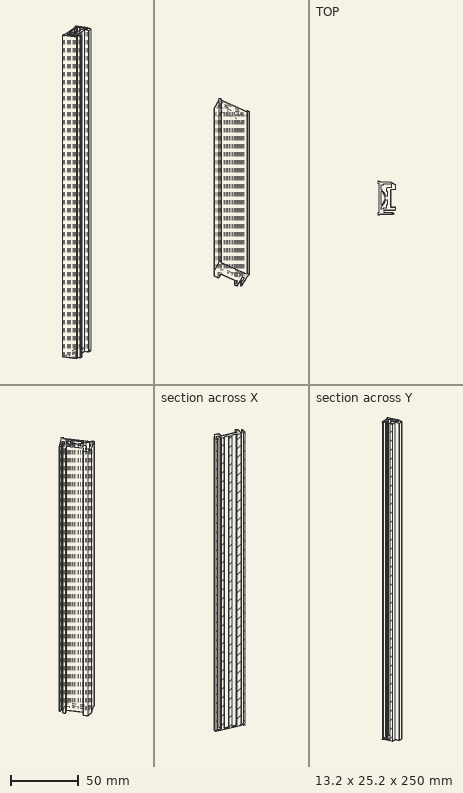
import cadquery as cq

LENGTH = 250.0
WIDTH = 13.2
HEIGHT = 25.2
END_WALL = 1.2

LEFT = -WIDTH / 2
RIGHT = WIDTH / 2
FACE_X = -5.8
FACE_INNER_X = -4.2
WEB_LEFT = 0.5
WEB_RIGHT = 3.0
WEB_STEP_X = -0.2
BOSS_X = -1.2
STRIP_END_X = 5.2

EDGE_Y = HEIGHT / 2
STRIP_Y = 12.0
FLANGE_Y = 10.8
FLANGE_TIP_START_Y = 12.0
FLANGE_CORNER_X = -6.5
FLANGE_CORNER_Y = 12.5
FLANGE_CREST_X = -6.2
FLANGE_SLOPE_X = -4.2

HOOK_BEND_X = 2.8
HOOK_CHAMFER_Y = 10.5
HOOK_SHOULDER_Y = 10.0
HOOK_LOWER_Y = 6.2
HOOK_TIP_CHAMFER = 0.38

ARM_UPPER_Y = -6.8
ARM_LOWER_Y = -9.0
ARM_TIP_CHAMFER = 0.5
SLOT_LOWER_Y = -10.5
SLOT_END_X = -2.0
LIP_BEND_X = 3.2
LIP_TIP_Y = -11.2
LIP_CHAMFER_X = 0.8
LIP_CHAMFER_Y = 0.38

BOSS_HALF = 1.5
RIB_FOOT_Y = 6.8
RIB_HEAD_Y = 3.0
STEP_NEAR_Y = 4.8
STEP_FAR_Y = 5.2
STEP_END_Y = 7.2
MIDDLE_CORNER_X = -3.2
MIDDLE_CORNER_Y = 4.8
MIDDLE_TIP_Y = 1.0
UPPER_CAVITY_Y = 10.2
UPPER_CAVITY_RIGHT = 3.5
UPPER_CAVITY_LOWER_Y = 7.8
TONGUE_X = -2.5
TONGUE_UPPER_Y = 9.5
LOWER_CAVITY_Y = -7.5
TONGUE_LOWER_Y = -8.2


def left_flange(side):
    """Points of one left flange from the left wall to the strip; side is 1 for +Y, -1 for -Y."""
    return [
        (FACE_X, side * FLANGE_Y),
        (LEFT, side * FLANGE_Y),
        (LEFT, side * FLANGE_TIP_START_Y),
        (FLANGE_CORNER_X, side * FLANGE_CORNER_Y),
        (FLANGE_CREST_X, side * EDGE_Y),
        (FLANGE_SLOPE_X, side * STRIP_Y),
    ]


def rib_and_web(side):
    """Cavity points from the foot of a rib, past the boss and up the stepped web."""
    return [
        (FACE_INNER_X, side * RIB_FOOT_Y),
        (BOSS_X, side * RIB_HEAD_Y),
        (BOSS_X, side * BOSS_HALF),
        (WEB_LEFT, side * BOSS_HALF),
        (WEB_LEFT, side * STEP_NEAR_Y),
        (WEB_STEP_X, side * STEP_FAR_Y),
        (WEB_STEP_X, side * STEP_END_Y),
    ]


upper_hook = [
    (HOOK_BEND_X, STRIP_Y),
    (STRIP_END_X, HOOK_CHAMFER_Y),
    (RIGHT, HOOK_SHOULDER_Y),
    (RIGHT, HOOK_LOWER_Y + HOOK_TIP_CHAMFER),
    (RIGHT - HOOK_TIP_CHAMFER, HOOK_LOWER_Y),
    (WEB_RIGHT, HOOK_LOWER_Y),
]
lower_arm = [
    (WEB_RIGHT, ARM_UPPER_Y),
    (RIGHT, ARM_UPPER_Y),
    (RIGHT, ARM_LOWER_Y + ARM_TIP_CHAMFER),
    (RIGHT - ARM_TIP_CHAMFER, ARM_LOWER_Y),
    (SLOT_END_X, ARM_LOWER_Y),
]
lower_lip = [
    (SLOT_END_X, SLOT_LOWER_Y),
    (LIP_BEND_X, SLOT_LOWER_Y),
    (STRIP_END_X, LIP_TIP_Y),
    (STRIP_END_X, -STRIP_Y + LIP_CHAMFER_Y),
    (STRIP_END_X - LIP_CHAMFER_X, -STRIP_Y),
]
outline = left_flange(1) + upper_hook + lower_arm + lower_lip + left_flange(-1)[::-1]

upper_cavity = rib_and_web(1) + [
    (WEB_LEFT, UPPER_CAVITY_LOWER_Y),
    (UPPER_CAVITY_RIGHT, UPPER_CAVITY_LOWER_Y),
    (UPPER_CAVITY_RIGHT, UPPER_CAVITY_Y),
    (TONGUE_X, UPPER_CAVITY_Y),
    (TONGUE_X, TONGUE_UPPER_Y),
    (FACE_INNER_X, TONGUE_UPPER_Y),
]
lower_cavity = rib_and_web(-1) + [
    (WEB_STEP_X, LOWER_CAVITY_Y),
    (TONGUE_X, LOWER_CAVITY_Y),
    (TONGUE_X, TONGUE_LOWER_Y),
    (FACE_INNER_X, TONGUE_LOWER_Y),
]
middle_cavity = [
    (FACE_INNER_X, MIDDLE_CORNER_Y),
    (MIDDLE_CORNER_X, MIDDLE_CORNER_Y),
    (BOSS_X, MIDDLE_TIP_Y),
    (BOSS_X, -MIDDLE_TIP_Y),
    (MIDDLE_CORNER_X, -MIDDLE_CORNER_Y),
    (FACE_INNER_X, -MIDDLE_CORNER_Y),
]

bottom = cq.Workplane("XY").workplane(offset=-LENGTH / 2)
cavity_floor = bottom.workplane(offset=END_WALL)

result = bottom.polyline(outline).close().extrude(LENGTH)
for cavity in (upper_cavity, middle_cavity, lower_cavity):
    result = result.cut(cavity_floor.polyline(cavity).close().extrude(LENGTH - END_WALL))